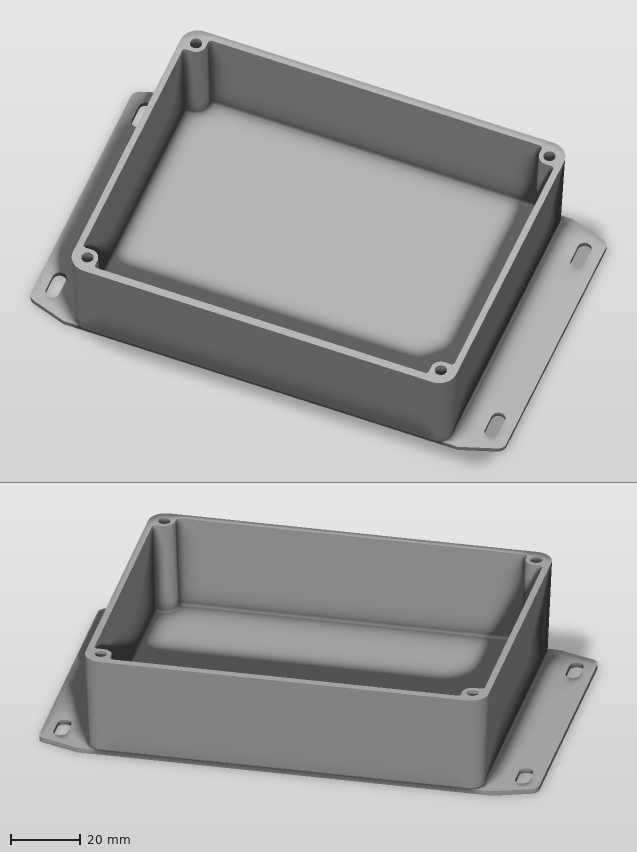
import cadquery as cq
import math

plate_length = 148.1
plate_width = 89.5
plate_thickness = 1.5
ear_taper_length = 12.6
ear_taper_drop = 4.3
ear_corner_radius = 2.7

slot_length = 9.5
slot_width = 4.1
slot_inset = 5.6
slot_spacing = 66.8

box_length = 119.5
box_width = 94.0
rim_height = 31.5
box_corner_radius = 5.3
box_base_fillet = 1.0
draft_angle = 2.5

end_wall = 1.9
side_wall = 2.4
floor_thickness = 2.5
cavity_fillet = 0.9
floor_fillet = 0.96
cavity_length = box_length - 2 * end_wall
cavity_width = box_width - 2 * side_wall
cavity_depth = rim_height - plate_thickness - floor_thickness
match_tolerance = 0.01

screw_spacing_x = 110.2
screw_spacing_y = 84.1
post_radius = 3.1
hole_rim_diameter = 3.5
hole_end_diameter = 2.5
hole_depth = 17.8
drill_point_angle = 118.0


def make_ear_plate():
    """Flat plate with a tapered, rounded ear at each end."""
    end_x = plate_length / 2
    shoulder_x = end_x - ear_taper_length
    side_y = plate_width / 2
    ear_y = side_y - ear_taper_drop
    return (
        cq.Workplane("XY")
        .polyline([
            (shoulder_x, side_y),
            (end_x, ear_y),
            (end_x, -ear_y),
            (shoulder_x, -side_y),
            (-shoulder_x, -side_y),
            (-end_x, -ear_y),
            (-end_x, ear_y),
            (-shoulder_x, side_y),
        ])
        .close()
        .extrude(plate_thickness)
        .edges("|Z and (<X or >X)")
        .fillet(ear_corner_radius)
    )


def make_slots():
    return (
        cq.Workplane("XY")
        .rarray(plate_length - 2 * slot_inset, slot_spacing, 2, 2)
        .slot2D(slot_length, slot_width, angle=90)
        .extrude(plate_thickness)
    )


def make_shell():
    """Solid outside of the box, sized at the rim and narrowing down to the plate."""
    outline = cq.Sketch().rect(box_length, box_width).vertices().fillet(box_corner_radius)
    return (
        cq.Workplane("XY", origin=(0, 0, rim_height))
        .placeSketch(outline)
        .extrude(plate_thickness - rim_height, taper=draft_angle)
        .faces("<Z")
        .edges()
        .fillet(box_base_fillet)
    )


def make_cavity():
    """Drafted cavity whose corners step in around the four screw posts."""
    wall_x = cavity_length / 2
    wall_y = cavity_width / 2
    post_x = screw_spacing_x / 2 - post_radius
    post_y = screw_spacing_y / 2 - post_radius
    post_corner = post_radius * (1 - math.sqrt(0.5))

    outline = cq.Workplane("XY", origin=(0, 0, rim_height)).moveTo(-post_x, wall_y)
    for sign_x, sign_y, from_side in ((1, 1, True), (1, -1, False), (-1, -1, True), (-1, 1, False)):
        corner = [
            (post_x, wall_y),
            (post_x, post_y + post_radius),
            (post_x + post_corner, post_y + post_corner),
            (post_x + post_radius, post_y),
            (wall_x, post_y),
        ]
        if not from_side:
            corner.reverse()
        start, arc_start, arc_middle, arc_end, end = [(sign_x * x, sign_y * y) for x, y in corner]
        outline = outline.lineTo(*start).lineTo(*arc_start).threePointArc(arc_middle, arc_end).lineTo(*end)
    cavity = outline.close().extrude(-cavity_depth, taper=draft_angle)

    def runs_into_wall(edge):
        top = max(edge.Vertices(), key=lambda vertex: vertex.Z).toTuple()
        on_wall = abs(abs(top[0]) - wall_x) < match_tolerance or abs(abs(top[1]) - wall_y) < match_tolerance
        is_upright = edge.BoundingBox().zlen > cavity_depth / 2
        return on_wall and is_upright

    cavity = cavity.edges().filter(runs_into_wall).fillet(cavity_fillet)
    return cavity.faces("<Z").edges().fillet(floor_fillet)


def make_screw_holes():
    rim_radius = hole_rim_diameter / 2
    end_radius = hole_end_diameter / 2
    point_depth = hole_depth + end_radius / math.tan(math.radians(drill_point_angle / 2))
    hole = (
        cq.Workplane("XZ")
        .polyline([(0, 0), (rim_radius, 0), (end_radius, -hole_depth), (0, -point_depth)])
        .close()
        .revolve(360, (0, 0, 0), (0, 1, 0))
        .val()
    )
    return (
        cq.Workplane("XY", origin=(0, 0, rim_height))
        .rarray(screw_spacing_x, screw_spacing_y, 2, 2)
        .eachpoint(lambda place: hole.moved(place))
    )


plate = make_ear_plate().cut(make_slots())
box = make_shell().cut(make_cavity()).cut(make_screw_holes())

result = cq.Compound.makeCompound([plate.val(), box.val()])